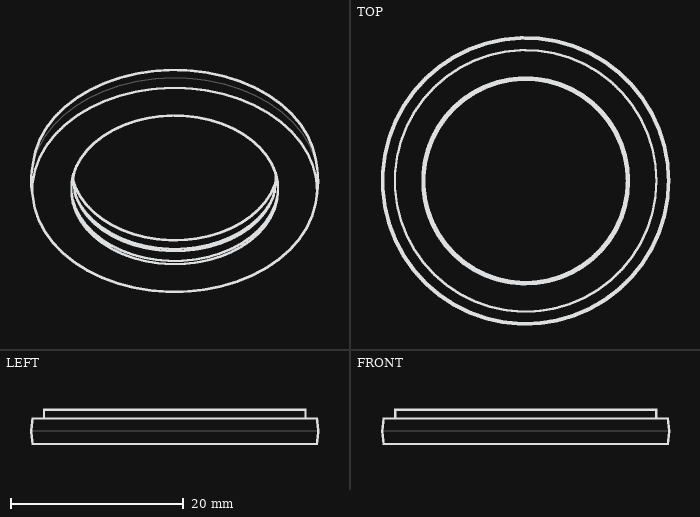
import cadquery as cq

crown_radius = 16.65
rim_edge_radius = 16.5
collar_radius = 15.15
bore_radius = 12.0
height = 4.0
rim_height = 3.0
crown_height = rim_height / 2

groove_bottom = 0.53
groove_top = 2.53

seal_thickness = 1.8
seal_protrusion = 0.25
seal_section_radius = seal_thickness / 2
seal_center_height = (groove_bottom + groove_top) / 2
seal_center_radius = bore_radius - seal_protrusion + seal_section_radius

groove_radius = seal_center_radius + seal_section_radius


def make_housing():
    profile = (
        cq.Workplane("XZ")
        .moveTo(bore_radius, 0)
        .lineTo(rim_edge_radius, 0)
        .lineTo(crown_radius, crown_height)
        .lineTo(rim_edge_radius, rim_height)
        .lineTo(collar_radius, rim_height)
        .lineTo(collar_radius, height)
        .lineTo(bore_radius, height)
        .lineTo(bore_radius, groove_top)
        .lineTo(groove_radius, groove_top)
        .lineTo(groove_radius, groove_bottom)
        .lineTo(bore_radius, groove_bottom)
        .close()
    )
    return profile.revolve(360, (0, 0, 0), (0, 1, 0))


def make_seal():
    section = (
        cq.Workplane("XZ")
        .center(seal_center_radius, seal_center_height)
        .circle(seal_section_radius)
    )
    return section.revolve(360, (-seal_center_radius, 0, 0), (-seal_center_radius, 1, 0))


housing = make_housing()
seal = make_seal()

result = cq.Compound.makeCompound([housing.val(), seal.val()])